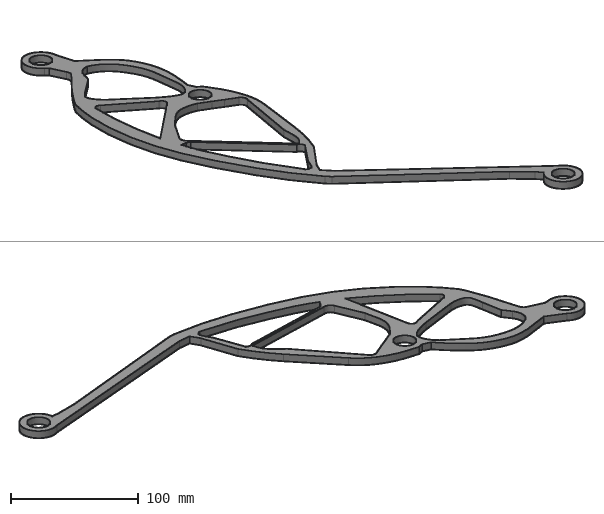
import cadquery as cq

thickness = 6.5
overall_length = 490.0
eye_diameter = 30.5
hole_diameter = 18.0
eye_spacing = overall_length - eye_diameter
middle_hole_x = 140.0
hole_positions = [(0, 0), (middle_hole_x, 0), (eye_spacing, 0)]


def sketch_from(x, y):
    """Start a profile on the bottom face of the plate."""
    return cq.Workplane("XY").moveTo(x, y)


def curve(profile, points):
    """Continue a profile with a smooth curve through the points."""
    return profile.spline(points, includeCurrent=True)


def plate(profile):
    """Close a profile and give it the plate thickness."""
    return profile.close().extrude(thickness)


def frame_blank():
    """Solid outline of the frame and arm, ending inside the two eyes."""
    edge = sketch_from(0, 0).lineTo(5.0, 14.0).lineTo(24.0, 11.0)
    edge = curve(edge, [(39.0, 21.0), (59.0, 30.5), (75.0, 32.0), (88.0, 30.0), (106.0, 22.5), (123.0, 12.0)])
    edge = edge.lineTo(131.0, 12.0).lineTo(134.5, 14.5)
    edge = curve(edge, [(157.0, 17.0), (173.0, 15.5), (193.0, 7.5)]).lineTo(235.5, -21.0)
    edge = edge.threePointArc((250.5, -32.5), (263.5, -45.0)).lineTo(281.0, -74.5).lineTo(287.5, -81.5)
    edge = edge.lineTo(298.5, -77.5).lineTo(451.0, 12.2).lineTo(eye_spacing, 0).lineTo(445.5, -5.0)
    edge = edge.lineTo(438.5, -7.5).lineTo(420.5, -16.0).lineTo(301.5, -88.0).lineTo(296.5, -90.0)
    edge = curve(edge, [(257.5, -99.0), (221.0, -103.0), (186.0, -104.0), (153.0, -101.0), (111.5, -89.5),
                        (88.0, -79.0), (62.0, -61.0)])
    edge = edge.lineTo(59.0, -57.0)
    edge = curve(edge, [(46.5, -37.0), (37.5, -20.5)]).lineTo(33.5, -12.5)
    edge = edge.threePointArc((31.0, -11.0), (27.5, -10.5)).lineTo(12.5, -10.5).lineTo(5.0, -14.0)
    return plate(edge)


def lobe_window():
    """Large rounded opening under the upper lobe."""
    edge = sketch_from(37.5, 6.5)
    edge = curve(edge, [(43.5, 13.0), (53.0, 19.0), (63.5, 22.0), (84.0, 22.0), (103.0, 15.5), (123.0, 6.0),
                        (127.5, -4.0), (125.0, -9.0), (111.5, -20.5)])
    edge = edge.lineTo(79.5, -41.5)
    edge = curve(edge, [(68.0, -45.5), (63.0, -45.0), (59.0, -39.0), (56.5, -33.0)])
    edge = edge.lineTo(49.0, -14.0).lineTo(42.0, -8.5).threePointArc((37.5, -2.0), (37.5, 6.5))
    return plate(edge)


def triangle_window():
    """Triangular opening between the two diagonal ribs."""
    edge = sketch_from(117.0, -25.5).lineTo(80.0, -53.5)
    edge = edge.threePointArc((78.0, -57.0), (80.0, -60.5))
    edge = edge.threePointArc((111.5, -74.5), (149.5, -86.0))
    edge = edge.lineTo(124.5, -26.0).threePointArc((121.0, -23.5), (117.0, -25.5))
    return plate(edge)


def upper_window():
    """Opening above the thin strut."""
    edge = sketch_from(169.5, 9.5).threePointArc((173.0, 11.0), (177.0, 9.5)).lineTo(228.5, -28.0)
    edge = curve(edge, [(237.0, -32.0), (247.5, -39.0), (250.5, -45.0)])
    edge = edge.lineTo(171.0, -80.5).threePointArc((167.0, -81.5), (162.5, -79.0)).lineTo(147.0, -57.0)
    edge = curve(edge, [(141.0, -43.5), (139.0, -34.5), (141.0, -24.5), (145.5, -15.5)])
    edge = edge.lineTo(154.0, -7.0).lineTo(161.0, 0.5)
    return plate(edge)


def lower_window():
    """Opening below the thin strut."""
    edge = sketch_from(174.0, -82.0).lineTo(250.0, -48.0)
    edge = edge.threePointArc((253.0, -45.5), (256.0, -46.0)).lineTo(272.0, -71.0).lineTo(278.5, -78.0)
    edge = edge.threePointArc((279.5, -82.5), (277.0, -85.2))
    edge = curve(edge, [(250.5, -89.0), (228.5, -91.0), (206.0, -91.5), (181.5, -91.0), (170.0, -89.5)])
    edge = edge.lineTo(171.5, -84.5)
    return plate(edge)


eyes = (
    cq.Workplane("XY")
    .pushPoints([(0, 0), (eye_spacing, 0)])
    .circle(eye_diameter / 2)
    .extrude(thickness)
)
holes = cq.Workplane("XY").pushPoints(hole_positions).circle(hole_diameter / 2).extrude(thickness)

result = frame_blank().union(eyes)
for opening in (lobe_window(), triangle_window(), upper_window(), lower_window(), holes):
    result = result.cut(opening)